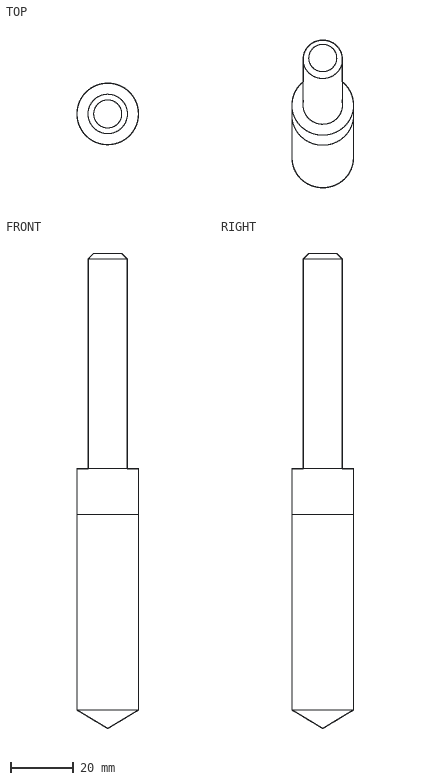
import cadquery as cq
import math

total_length = 152.4
body_diameter = 19.8
shank_diameter = 12.6
shank_length = 69.0
shank_chamfer = 1.8
collar_length = 14.8
point_angle = 118.0

body_radius = body_diameter / 2
point_height = body_radius / math.tan(math.radians(point_angle / 2))
collar_top = total_length - shank_length
joint_height = collar_top - collar_length


def make_pointed_body():
    """Solid cylinder with a conical point at its lower end."""
    half_profile = (
        cq.Workplane("XZ")
        .moveTo(0, 0)
        .lineTo(body_radius, point_height)
        .lineTo(body_radius, joint_height)
        .lineTo(0, joint_height)
        .close()
    )
    return half_profile.revolve(360, (0, 0, 0), (0, 1, 0))


def make_shank():
    """Collar flush with the pointed body, carrying a chamfered round shank."""
    collar = (
        cq.Workplane("XY")
        .workplane(offset=joint_height)
        .circle(body_radius)
        .extrude(collar_length)
    )
    rod = (
        cq.Workplane("XY")
        .workplane(offset=collar_top)
        .circle(shank_diameter / 2)
        .extrude(shank_length)
        .faces(">Z")
        .chamfer(shank_chamfer)
    )
    return collar.union(rod)


pointed_body = make_pointed_body()
shank = make_shank()

result = cq.Compound.makeCompound([pointed_body.val(), shank.val()])